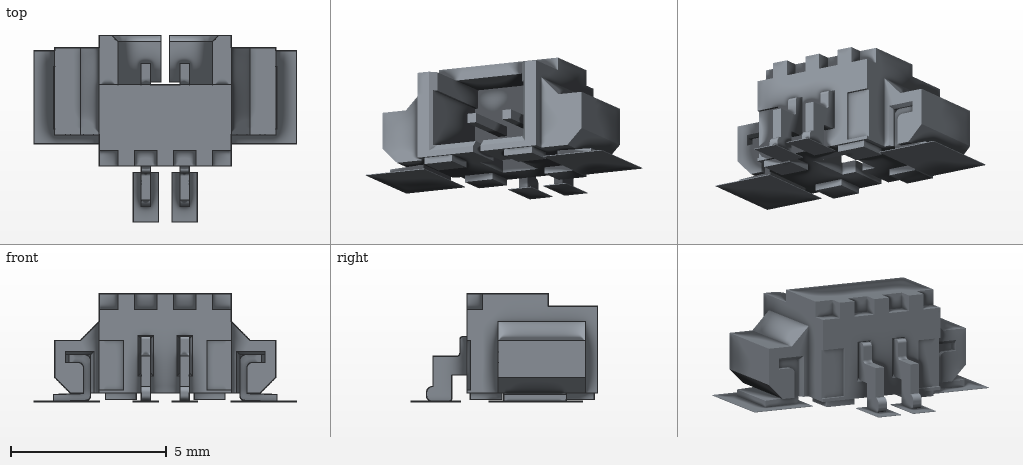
import cadquery as cq


PAD_THICKNESS = 0.02
CLIP_PAD_OUTER_X = 4.225
CLIP_PAD_INNER_X = 2.12
CLIP_PAD_Y = (0.71, 3.71)
PIN_PAD_WIDTH = 0.82
PIN_PAD_Y = (-1.8, -0.2)

BODY_WIDTH = 4.25
BODY_HALF = BODY_WIDTH / 2
BODY_DEPTH = 4.2
BODY_BOTTOM = 0.28
BODY_TOP = 3.48
FRONT_TOP = 3.08
HOOD_FRONT_Y = 2.62

CAVITY_HALF = 1.51
CAVITY_REAR_Y = 1.01
CAVITY_FLOOR = 0.68
LEAD_IN = 0.2
SIDE_GROOVE_TOP = 2.48
SIDE_GROOVE_DEPTH = 0.1
FLOOR_SLOT_WIDTH = 0.27
FLOOR_WINDOW_FRONT_Y = 2.695

PITCH = 1.25
PIN_CENTRES = (-PITCH / 2, PITCH / 2)
NOTCH_SIZE = 0.51
NOTCH_WIDTH = 0.72
RECESS_INNER_X = 1.335
RECESS_Z = (0.38, 1.98)
RECESS_DEPTH = 0.11
FLARE = 0.1
PIN_SLOT_Z = (0.83, 2.14)

FOOT_X = (0.93, 1.93)
FOOT_LENGTH = 1.03
FOOT_BOTTOM = 0.072
FOOT_INSET = 0.1

PIN_WIDTH = 0.3
PIN_TOP = 2.1
PIN_NECK_Y = -0.23
PIN_ARM_TOP = 1.47
PIN_ARM_BOTTOM = 0.86
PIN_LEG_Y = (-1.1, -0.48)
PIN_RADIUS = 0.1
TOE_TOP = 0.5
TOE_RADIUS = 0.2
TOE_LOWER_RADIUS = 0.18
BLADE_TIP_Y = 3.3

WING_Y = (1.005, 3.81)
WING_OUTER_X = 3.56
WING_TOP = 1.98
WING_KNEE_X = 2.73
WING_ROOT_TOP = 2.585
WING_CHAMFER = 0.51

CLIP_Y = (1.18, 3.19)
SLOT_OUTER_X = 3.2
SLOT_INNER_X = 2.3
SLOT_TOP = 1.62
SLOT_LEDGE = 1.27
CLIP_THICKNESS = 0.23
CLIP_TIP_GAP = 0.1
CLIP_BEND_RADIUS = 0.18
CLIP_OUTER_RADIUS = 0.2
CLIP_HEEL_RADIUS = 0.15
CLIP_TOE_X = 3.6
CLIP_TOE_DROP = 0.03

CLIP_INNER_X = SLOT_INNER_X + FLARE
CLIP_LEG_X = CLIP_INNER_X + CLIP_THICKNESS
CLIP_TIP_X = SLOT_OUTER_X - CLIP_TIP_GAP
CLIP_TOP = SLOT_TOP - FLARE


def block(x_range, y_range, z_range):
    """Box spanning the given ranges."""
    spans = (x_range, y_range, z_range)
    size = [high - low for low, high in spans]
    corner = [low for low, high in spans]
    return cq.Workplane("XY").box(*size, centered=False).translate(corner)


def along_y(profile, y_range):
    """Extrude a closed XZ-plane profile over a range of Y."""
    length = y_range[1] - y_range[0]
    return profile.extrude(-length).translate((0, y_range[0], 0))


def both_sides(solid):
    """The solid together with its mirror image across X = 0."""
    return solid.union(solid.mirror("YZ"))


def housing_block():
    """Stepped outer block: low at the mating end, tall over the hood."""
    low = block((-BODY_HALF, BODY_HALF), (0, BODY_DEPTH), (BODY_BOTTOM, FRONT_TOP))
    tall = block((-BODY_HALF, BODY_HALF), (0, HOOD_FRONT_Y), (BODY_BOTTOM, BODY_TOP))
    return low.union(tall)


def mating_cavity():
    """Cavity open at +Y, with a flared mouth, undercut side walls and an open floor."""
    room = block(
        (-CAVITY_HALF, CAVITY_HALF), (CAVITY_REAR_Y, BODY_DEPTH), (CAVITY_FLOOR, FRONT_TOP)
    )
    groove_half = CAVITY_HALF + SIDE_GROOVE_DEPTH
    grooves = block(
        (-groove_half, groove_half), (CAVITY_REAR_Y, BODY_DEPTH), (CAVITY_FLOOR, SIDE_GROOVE_TOP)
    )

    flare_top = BODY_TOP
    mouth_half = CAVITY_HALF + LEAD_IN
    mouth_floor = CAVITY_FLOOR - LEAD_IN
    mouth = (
        cq.Workplane("XZ", origin=(0, BODY_DEPTH, 0))
        .moveTo(-mouth_half, mouth_floor)
        .lineTo(mouth_half, mouth_floor)
        .lineTo(mouth_half, flare_top)
        .lineTo(-mouth_half, flare_top)
        .close()
        .workplane(offset=LEAD_IN)
        .moveTo(-CAVITY_HALF, CAVITY_FLOOR)
        .lineTo(CAVITY_HALF, CAVITY_FLOOR)
        .lineTo(CAVITY_HALF, flare_top)
        .lineTo(-CAVITY_HALF, flare_top)
        .close()
        .loft(ruled=True)
    )

    slot_half = FLOOR_SLOT_WIDTH / 2
    slot = block((-slot_half, slot_half), (CAVITY_REAR_Y, BODY_DEPTH), (0, FRONT_TOP))
    window = block(
        (-PITCH / 2, PITCH / 2), (CAVITY_REAR_Y, FLOOR_WINDOW_FRONT_Y), (0, CAVITY_FLOOR)
    )
    return room.union(grooves).union(mouth).union(slot).union(window)


def top_notches():
    """Notches in the upper rear edge: one over each pin and one at each corner."""
    y_range = (0, NOTCH_SIZE)
    z_range = (BODY_TOP - NOTCH_SIZE, BODY_TOP)
    notches = both_sides(block((CAVITY_HALF, BODY_HALF), y_range, z_range))
    for x in PIN_CENTRES:
        notches = notches.union(block((x - NOTCH_WIDTH / 2, x + NOTCH_WIDTH / 2), y_range, z_range))
    return notches


def rear_recesses():
    """Shallow recesses at the lower rear corners."""
    return both_sides(block((RECESS_INNER_X, BODY_HALF), (0, RECESS_DEPTH), RECESS_Z))


def pin_slots():
    """Flared mouths around the pins in the rear wall."""
    width = PIN_WIDTH + 2 * FLARE
    height = PIN_SLOT_Z[1] - PIN_SLOT_Z[0]
    centre_z = sum(PIN_SLOT_Z) / 2
    return (
        cq.Workplane("XZ")
        .pushPoints([(x, centre_z) for x in PIN_CENTRES])
        .rect(width, height)
        .extrude(-FLARE, taper=45)
    )


def feet():
    """Four standoff feet under the housing."""
    z_range = (FOOT_BOTTOM, BODY_BOTTOM)
    rear = block(FOOT_X, (FOOT_INSET, FOOT_INSET + FOOT_LENGTH), z_range)
    front_end = BODY_DEPTH - FOOT_INSET
    front = block(FOOT_X, (front_end - FOOT_LENGTH, front_end), z_range)
    return both_sides(rear.union(front))


def pin(x):
    """Contact pin: stepped tail behind the housing and a straight blade in the cavity."""
    leg_rear, leg_front = PIN_LEG_Y
    toe_y = leg_rear - TOE_RADIUS
    toe_bottom_y = toe_y + TOE_LOWER_RADIUS
    foot_z = PAD_THICKNESS
    half = PIN_WIDTH / 2
    tail = (
        cq.Workplane("YZ")
        .moveTo(CAVITY_REAR_Y, PIN_ARM_BOTTOM)
        .lineTo(CAVITY_REAR_Y, PIN_TOP)
        .lineTo(PIN_NECK_Y + PIN_RADIUS, PIN_TOP)
        .radiusArc((PIN_NECK_Y, PIN_TOP - PIN_RADIUS), -PIN_RADIUS)
        .lineTo(PIN_NECK_Y, PIN_ARM_TOP + PIN_RADIUS)
        .radiusArc((PIN_NECK_Y - PIN_RADIUS, PIN_ARM_TOP), PIN_RADIUS)
        .lineTo(leg_rear, PIN_ARM_TOP)
        .lineTo(leg_rear, TOE_TOP)
        .radiusArc((toe_y, TOE_TOP - TOE_RADIUS), -TOE_RADIUS)
        .lineTo(toe_y, foot_z + TOE_LOWER_RADIUS)
        .radiusArc((toe_bottom_y, foot_z), -TOE_LOWER_RADIUS)
        .lineTo(leg_front - PIN_RADIUS, foot_z)
        .radiusArc((leg_front, foot_z + PIN_RADIUS), -PIN_RADIUS)
        .lineTo(leg_front, PIN_ARM_BOTTOM)
        .close()
        .extrude(half, both=True)
    )
    blade_z = (PIN_ARM_TOP, PIN_ARM_TOP + PIN_WIDTH)
    blade = block((-half, half), (CAVITY_REAR_Y, BLADE_TIP_Y), blade_z)
    return tail.union(blade).translate((x, 0, 0))


def wing():
    """Wing on the +X side, sloping up to the housing and chamfered underneath."""
    profile = (
        cq.Workplane("XZ")
        .moveTo(BODY_HALF, BODY_BOTTOM)
        .lineTo(WING_OUTER_X - WING_CHAMFER, BODY_BOTTOM)
        .lineTo(WING_OUTER_X, BODY_BOTTOM + WING_CHAMFER)
        .lineTo(WING_OUTER_X, WING_TOP)
        .lineTo(WING_KNEE_X, WING_TOP)
        .lineTo(BODY_HALF, WING_ROOT_TOP)
        .close()
    )
    return along_y(profile, WING_Y)


def clip_slot():
    """Bent slot for the +X clip, flared at its rear mouth on the inner side and top."""
    wing_rear = WING_Y[0]

    def outline(plane, inner_x, top):
        return (
            plane.moveTo(inner_x, 0)
            .lineTo(inner_x, top)
            .lineTo(SLOT_OUTER_X, top)
            .lineTo(SLOT_OUTER_X, 0)
            .close()
        )

    rear_plane = cq.Workplane("XZ", origin=(0, wing_rear, 0))
    straight = outline(rear_plane, CLIP_INNER_X, CLIP_TOP).extrude(wing_rear - CLIP_Y[1])
    mouth = outline(rear_plane, SLOT_INNER_X, SLOT_TOP).workplane(offset=-FLARE)
    flare = outline(mouth, CLIP_INNER_X, CLIP_TOP).loft(ruled=True)

    core = (
        block((CLIP_LEG_X, WING_OUTER_X), WING_Y, (0, SLOT_LEDGE))
        .edges("|Y and <X and >Z")
        .fillet(CLIP_BEND_RADIUS)
    )
    return straight.union(flare).cut(core)


def clip():
    """Bent hold-down clip on the +X side: top arm, leg and sloping solder foot."""
    toe_z = PAD_THICKNESS / 2
    heel_z = toe_z + CLIP_TOE_DROP
    arm_end_x = CLIP_LEG_X + CLIP_BEND_RADIUS
    profile = (
        cq.Workplane("XZ")
        .moveTo(CLIP_TIP_X, CLIP_TOP)
        .lineTo(CLIP_INNER_X + CLIP_OUTER_RADIUS, CLIP_TOP)
        .radiusArc((CLIP_INNER_X, CLIP_TOP - CLIP_OUTER_RADIUS), -CLIP_OUTER_RADIUS)
        .lineTo(CLIP_INNER_X, heel_z + CLIP_HEEL_RADIUS)
        .radiusArc((CLIP_INNER_X + CLIP_HEEL_RADIUS, heel_z), -CLIP_HEEL_RADIUS)
        .lineTo(CLIP_TOE_X, toe_z)
        .lineTo(CLIP_TOE_X, toe_z + CLIP_THICKNESS)
        .lineTo(CLIP_LEG_X, heel_z + CLIP_THICKNESS)
        .lineTo(CLIP_LEG_X, SLOT_LEDGE - CLIP_BEND_RADIUS)
        .radiusArc((arm_end_x, SLOT_LEDGE), CLIP_BEND_RADIUS)
        .lineTo(CLIP_TIP_X, SLOT_LEDGE)
        .close()
    )
    return along_y(profile, CLIP_Y)


def pads():
    """Solder pads under the clips and the pins."""
    z_range = (0, PAD_THICKNESS)
    plates = both_sides(block((CLIP_PAD_INNER_X, CLIP_PAD_OUTER_X), CLIP_PAD_Y, z_range))
    half = PIN_PAD_WIDTH / 2
    for x in PIN_CENTRES:
        plates = plates.union(block((x - half, x + half), PIN_PAD_Y, z_range))
    return plates


housing = (
    housing_block()
    .cut(mating_cavity())
    .cut(top_notches())
    .cut(rear_recesses())
    .cut(pin_slots())
    .union(feet())
    .union(both_sides(wing().cut(clip_slot()).union(clip())))
)

result = housing.union(pads())
for pin_x in PIN_CENTRES:
    result = result.union(pin(pin_x))